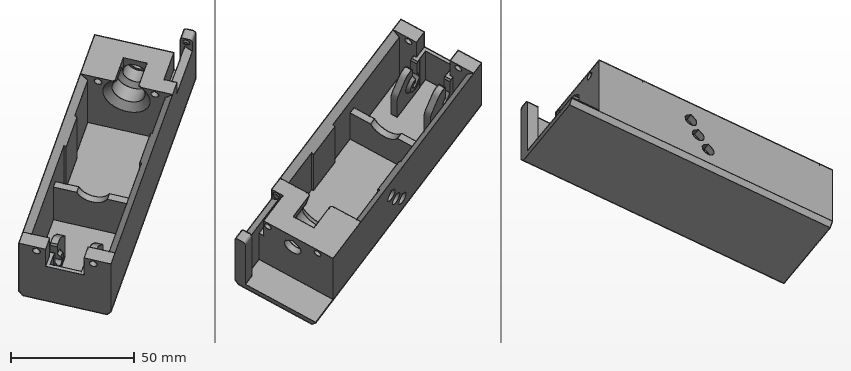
import cadquery as cq
import math

LENGTH = 125
WIDTH = 39.0
HEIGHT = 34.0
HALF_WIDTH = WIDTH / 2
CHAMFER_ACROSS = 1.8
CHAMFER_UP = 2.4
FLOOR = 3.0
FRONT_FLOOR = 1.2

FRONT_WALL = 6.0
BLOCK_FRONT = 90.9
BLOCK_BACK = 111.9
WALL_SLOPE = 3.1
CAVITY_HALF = HALF_WIDTH - WALL_SLOPE
PAD_FRONT = 55.9
PAD_BACK = 72.0
PAD_THICKNESS = 0.9

NOTCH_HALF = 8.1
NOTCH_DEPTH = 11.2
LIP_THICKNESS = 1.5
POCKET_HALF = 6.6

BAFFLE_FRONT = 40.1
BAFFLE_THICKNESS = 3.0
BAFFLE_TOP = 22.8
BAFFLE_SCOOP_RADIUS = 7.2

BORE_Z = 26.0
MOUTH_RADIUS = 10
BORE_RADIUS = 7.0
BORE_CONE_START = 100.9
NECK_RADIUS = 5
NECK_END = 108.9
SLOT_END = 103.6
EXIT_RADIUS = 4.0

TEARDROP_PEAK = 1.25
SCREW_X = 12.0
SCREW_Z = 31.4
SCREW_RADIUS = 1.6
SIDE_HOLE_RADIUS = 2.8
SIDE_HOLE_DEPTH = 3.0
SIDE_HOLES = [(67.9, 23.5), (64.4, 16.4), (59.6, 10.2)]

RECESS_X = 14.0
RECESS_FRONT = 97.4
RECESS_FLOOR = HEIGHT - NOTCH_DEPTH
RAIL_X = 16.2
RAIL_TOP = 28.9
RAIL_TOP_DROP = 2.0
POST_X = 14.4
POST_FRONT = 120
POST_ROUND = 1.5
NUB_X = (POST_X + HALF_WIDTH) / 2
NUB_Z = 31.6
NUB_HEIGHT = 0.6
POST_NUB_BASE_RADIUS = 1.5
POST_NUB_TIP_RADIUS = 0.8
BLOCK_NUB_BASE_RADIUS = 1.8
BLOCK_NUB_TIP_RADIUS = 1.5

CLIP_INNER = 6.5
CLIP_OUTER = 9.5
CLIP_TOP = HEIGHT - NOTCH_DEPTH
CLIP_CROWN = 13.8
CROWN_RADIUS = 4.8
HEEL_RADIUS = 5
SLOPE_RUN = 4.5
ENTRY_FRONT = 8.2
ENTRY_BACK = 11.5
ENTRY_CHAMFER = 0.8
SOCKET_Y = 11.9
SOCKET_Z = 12.5
SOCKET_RADIUS = (ENTRY_BACK - ENTRY_FRONT) / 2
BOSS_BASE_RADIUS = 4.8
BOSS_TIP_RADIUS = 3.5
BOSS_TIP_X = 5


def box(x_min, x_max, y_min, y_max, z_min, z_max):
    size = (x_max - x_min, y_max - y_min, z_max - z_min)
    return cq.Workplane("XY").box(*size, centered=False).translate((x_min, y_min, z_min))


def cone(start_radius, end_radius, length, start, direction):
    return cq.Workplane(
        cq.Solid.makeCone(start_radius, end_radius, length, cq.Vector(*start), cq.Vector(*direction))
    )


def teardrop(plane, radius, length):
    """Prism with a round lower side and a pointed top."""
    peak = TEARDROP_PEAK * radius
    tangent_z = radius**2 / peak
    tangent_x = math.sqrt(radius**2 - tangent_z**2)
    return (
        plane.moveTo(-tangent_x, tangent_z)
        .threePointArc((0, -radius), (tangent_x, tangent_z))
        .lineTo(0, peak)
        .close()
        .extrude(length)
    )


def teardrop_along_y(x, z, radius, y_min, y_max):
    plane = cq.Workplane("XZ", origin=(x, y_max, z))
    return teardrop(plane, radius, y_max - y_min)


def make_cavity():
    """Trough flaring out to the full width at the top, with wall pads and a deeper front bay."""
    pad_half = CAVITY_HALF - PAD_THICKNESS
    flare_z = HEIGHT - (HALF_WIDTH - pad_half)
    cavity = (
        cq.Workplane("XZ", origin=(0, BLOCK_FRONT, 0))
        .polyline([
            (-pad_half, FLOOR),
            (pad_half, FLOOR),
            (pad_half, flare_z),
            (HALF_WIDTH, HEIGHT),
            (-HALF_WIDTH, HEIGHT),
            (-pad_half, flare_z),
        ])
        .close()
        .extrude(BLOCK_FRONT - FRONT_WALL)
    )
    straight_top = HEIGHT - WALL_SLOPE
    for y_min, y_max in ((FRONT_WALL, PAD_FRONT), (PAD_BACK, BLOCK_FRONT)):
        cavity = cavity.union(box(-CAVITY_HALF, CAVITY_HALF, y_min, y_max, FLOOR, straight_top))
    front_bay = box(-CAVITY_HALF, CAVITY_HALF, FRONT_WALL, BAFFLE_FRONT, FRONT_FLOOR, straight_top)
    return cavity.union(front_bay)


def make_body():
    body = box(-HALF_WIDTH, HALF_WIDTH, 0, BLOCK_BACK, 0, HEIGHT)
    body = body.union(box(-HALF_WIDTH, HALF_WIDTH, BLOCK_BACK, LENGTH, 0, FLOOR))
    body = body.cut(make_cavity())
    for side in (-1, 1):
        corner = (
            cq.Workplane("XZ", origin=(side * HALF_WIDTH, LENGTH, 0))
            .polyline([(0, 0), (-side * CHAMFER_ACROSS, 0), (0, CHAMFER_UP)])
            .close()
            .extrude(LENGTH)
        )
        body = body.cut(corner)
    return body


def make_front_notch():
    lip = box(-NOTCH_HALF, NOTCH_HALF, 0, FRONT_WALL, HEIGHT - NOTCH_DEPTH, HEIGHT)
    pocket = box(-POCKET_HALF, POCKET_HALF, LIP_THICKNESS, FRONT_WALL, FRONT_FLOOR, HEIGHT)
    return lip.union(pocket)


def make_baffle():
    back = BAFFLE_FRONT + BAFFLE_THICKNESS
    baffle = box(-CAVITY_HALF, CAVITY_HALF, BAFFLE_FRONT, back, FLOOR, BAFFLE_TOP)
    scoop = (
        cq.Workplane("XZ", origin=(0, back, BORE_Z))
        .circle(BAFFLE_SCOOP_RADIUS)
        .extrude(BAFFLE_THICKNESS)
    )
    return baffle.cut(scoop)


def make_bore():
    """Coned mouth, bore, neck and open top slot, then a teardrop exit."""
    mouth_depth = MOUTH_RADIUS - BORE_RADIUS
    cone_end = BORE_CONE_START + BORE_RADIUS - NECK_RADIUS
    profile = [
        (0, BLOCK_FRONT),
        (MOUTH_RADIUS, BLOCK_FRONT),
        (BORE_RADIUS, BLOCK_FRONT + mouth_depth),
        (BORE_RADIUS, BORE_CONE_START),
        (NECK_RADIUS, cone_end),
        (NECK_RADIUS, NECK_END),
        (0, NECK_END),
    ]
    bore = cq.Workplane("XY").polyline(profile).close().revolve(360, (0, 0, 0), (0, 1, 0))
    bore = bore.translate((0, 0, BORE_Z))
    slot = box(-NECK_RADIUS, NECK_RADIUS, BLOCK_FRONT, SLOT_END, BORE_Z, HEIGHT)
    exit_hole = teardrop_along_y(0, BORE_Z, EXIT_RADIUS, NECK_END, BLOCK_BACK)
    return bore.union(slot).union(exit_hole)


def make_latch():
    """Low sloped rail and round-topped post, with pivot nubs facing each other above the rail."""
    rail = (
        cq.Workplane("XZ", origin=(0, POST_FRONT, 0))
        .polyline([
            (RAIL_X, FLOOR),
            (HALF_WIDTH, FLOOR),
            (HALF_WIDTH, RAIL_TOP - RAIL_TOP_DROP),
            (RAIL_X, RAIL_TOP),
        ])
        .close()
        .extrude(POST_FRONT - RECESS_FRONT)
    )
    post = box(POST_X, HALF_WIDTH, POST_FRONT, LENGTH, FLOOR, HEIGHT)
    post = post.edges("|Y and >Z").fillet(POST_ROUND)
    post_nub_start = (NUB_X, POST_FRONT, NUB_Z)
    post_nub = cone(POST_NUB_BASE_RADIUS, POST_NUB_TIP_RADIUS, NUB_HEIGHT, post_nub_start, (0, -1, 0))
    block_nub_start = (NUB_X, RECESS_FRONT, NUB_Z)
    block_nub = cone(BLOCK_NUB_BASE_RADIUS, BLOCK_NUB_TIP_RADIUS, NUB_HEIGHT, block_nub_start, (0, 1, 0))
    return rail.union(post).union(post_nub).union(block_nub)


def make_clip_blank():
    """Side outline of a clip with its rounded crown, sloped back and rounded heel."""
    diagonal = math.sqrt(0.5)
    half_arc = math.radians(45) / 2
    crown_end_y = CLIP_CROWN + CROWN_RADIUS * diagonal
    crown_end_z = CLIP_TOP - CROWN_RADIUS * (1 - diagonal)
    crown_mid_y = CLIP_CROWN + CROWN_RADIUS * math.sin(half_arc)
    crown_mid_z = CLIP_TOP - CROWN_RADIUS * (1 - math.cos(half_arc))
    slope_end_y = crown_end_y + SLOPE_RUN
    slope_end_z = crown_end_z - SLOPE_RUN
    heel_y = slope_end_y + HEEL_RADIUS * (1 - diagonal)
    heel_z = slope_end_z - HEEL_RADIUS * diagonal
    heel_mid_y = heel_y - HEEL_RADIUS * (1 - math.cos(half_arc))
    heel_mid_z = heel_z + HEEL_RADIUS * math.sin(half_arc)
    return (
        cq.Workplane("YZ", origin=(CLIP_INNER, 0, 0))
        .moveTo(FRONT_WALL, FRONT_FLOOR)
        .lineTo(FRONT_WALL, CLIP_TOP)
        .lineTo(CLIP_CROWN, CLIP_TOP)
        .threePointArc((crown_mid_y, crown_mid_z), (crown_end_y, crown_end_z))
        .lineTo(slope_end_y, slope_end_z)
        .threePointArc((heel_mid_y, heel_mid_z), (heel_y, heel_z))
        .lineTo(heel_y, FRONT_FLOOR)
        .close()
        .extrude(CLIP_OUTER - CLIP_INNER)
    )


def make_clip_entry():
    """Chamfered vertical slot whose 45 degree bottom leads into a round socket."""
    tangent_y = SOCKET_Y - SOCKET_RADIUS * math.sqrt(0.5)
    tangent_z = SOCKET_Z - SOCKET_RADIUS * math.sqrt(0.5)
    ramp_top = tangent_z + tangent_y - ENTRY_FRONT
    chamfer_bottom = CLIP_TOP - ENTRY_CHAMFER
    plane = cq.Workplane("YZ", origin=(BOSS_TIP_X, 0, 0))
    depth = CLIP_OUTER - BOSS_TIP_X
    slot = (
        plane.polyline([
            (ENTRY_FRONT - ENTRY_CHAMFER, CLIP_TOP),
            (ENTRY_FRONT, chamfer_bottom),
            (ENTRY_FRONT, ramp_top),
            (tangent_y, tangent_z),
            (SOCKET_Y, SOCKET_Z),
            (ENTRY_BACK, SOCKET_Z),
            (ENTRY_BACK, chamfer_bottom),
            (ENTRY_BACK + ENTRY_CHAMFER, CLIP_TOP),
        ])
        .close()
        .extrude(depth)
    )
    return slot.union(plane.center(SOCKET_Y, SOCKET_Z).circle(SOCKET_RADIUS).extrude(depth))


def make_clip():
    """Clip at positive X, with a coned boss around the socket on its inner face."""
    boss_length = CLIP_INNER - BOSS_TIP_X
    boss_start = (CLIP_INNER, SOCKET_Y, SOCKET_Z)
    boss = cone(BOSS_BASE_RADIUS, BOSS_TIP_RADIUS, boss_length, boss_start, (-1, 0, 0))
    return make_clip_blank().union(boss).cut(make_clip_entry())


result = make_body().cut(make_front_notch()).union(make_baffle()).cut(make_bore())

result = result.cut(box(RECESS_X, HALF_WIDTH, RECESS_FRONT, BLOCK_BACK, RECESS_FLOOR, HEIGHT))
result = result.union(make_latch())

clip = make_clip()
result = result.union(clip).union(clip.mirror("YZ"))

for side in (-1, 1):
    result = result.cut(teardrop_along_y(side * SCREW_X, SCREW_Z, SCREW_RADIUS, 0, BLOCK_BACK))

for hole_y, hole_z in SIDE_HOLES:
    side_plane = cq.Workplane("YZ", origin=(-HALF_WIDTH, hole_y, hole_z))
    result = result.cut(teardrop(side_plane, SIDE_HOLE_RADIUS, SIDE_HOLE_DEPTH))